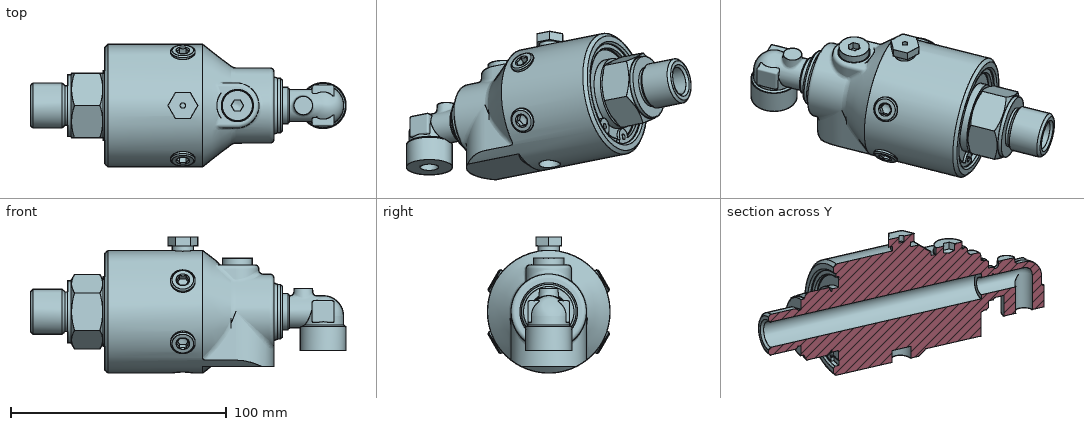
import cadquery as cq
import math


thread_d = 20.95
thread_chamfer = 1.2
thread_end = 14.8
relief_start = 16.1
relief_d = 18.5
flange_start = 17.3
flange_d = 28.8
hex_start = 19.0
hex_end = 33.8
hex_across_flats = 30.0
hex_chamfer_d = 29.4
hex_chamfer_angle = 30.0
shaft_d = 32.5
bore_d = 12.7
bore_mouth_d = 14.95

drum_d = 57.0
drum_start = 34.5
drum_end = 80.0
drum_chamfer = 1.5
neck_d = 35.0
cone_end = 94.2
neck_end = 113.1
cone_blend = 3.5
neck_round = 1.9

recess_d = 47.0
recess_chamfer = 0.9
recess_depth = 3.0
cover_raised_d = 42.0
cover_raise = 0.3
ring_inner_d = 43.2
ring_thickness = 1.5
ring_gap = 9.2
lug_d = 7.8
lug_hole_d = 2.5
lug_y = 8.5
lug_z = -18.6

port_x = 70.8
screw_angles = (30, 150, 210, 330)
screw_base_d = 11.5
screw_face_d = 10.0
screw_face_radius = 29.6
screw_rim = 0.6
screw_socket_mouth_d = 6.27
drain_d = 10.0
drain_depth = 6.0
bleeder_across_flats = 12.0
bleeder_top = 34.7
bleeder_head = 4.1
bleeder_neck_d = 10.0
bleeder_hole_d = 2.48
bleeder_hole_depth = 3.0

boss_x = 95.6
lower_boss_bottom = -25.5
lower_boss_fillet = 2.3
cone_root_overrun = 5.0
cone_root_stop = 1.0
upper_boss_d = 21.0
upper_boss_top = 21.7
upper_boss_round = 1.8
upper_boss_fillet = 1.8
spotface_d = 19.05
plug_x = 96.1
plug_d = 14.0
plug_seat_d = 14.95
plug_seat_depth = 0.5
plug_top = 24.9

socket_across_flats = 5.0
socket_depth = 2.5
socket_tip_angle = 118.0

collar_d = 25.4
collar_root_d = 26.8
collar_root_end = 114.8
collar_end = 117.1
collar_chamfer = 1.0
small_collar_d = 17.0
small_collar_end = 119.7

leg_d = 15.0
leg_blend = 0.7
elbow_d = 19.05
elbow_bore_d = 8.57
socket_d = 21.4
overall_length = 146.61
elbow_x = overall_length - socket_d / 2
elbow_dome_z = (leg_d - elbow_d) / 2
socket_top = -6.9
socket_bottom = -18.0
socket_blend = 0.8
pad_size = 10.2
pad_width = 19.2
pad_round = 0.8
stub_x = 126.7
stub_top = 10.8
stub_top_d = 8.57
stub_base_d = 10.6
stub_fillet = 1.5

slack = 1.0


def x_cylinder(diameter, start, end):
    return cq.Workplane("YZ", origin=(start, 0, 0)).circle(diameter / 2).extrude(end - start)


def z_cylinder(diameter, x, bottom, top):
    return cq.Workplane("XY", origin=(x, 0, bottom)).circle(diameter / 2).extrude(top - bottom)


def turned(points):
    """Revolve a profile of (x, radius) points about the X axis."""
    profile = [(x, -radius) for x, radius in points]
    return cq.Workplane("XZ").polyline(profile).close().revolve(360, (0, 0, 0), (1, 0, 0))


def hexagon_corners(across_flats):
    return across_flats / math.cos(math.pi / 6)


def radial_plane(direction, radius):
    """Plane facing away from the rotary axis at the ports around the drum."""
    origin = (port_x, radius * direction[1], radius * direction[2])
    return cq.Plane(origin=origin, xDir=(1, 0, 0), normal=direction)


def make_hex_socket(plane):
    """Hexagon socket below the plane, ending in a cone."""
    corners = hexagon_corners(socket_across_flats)
    tip_depth = corners / 2 / math.tan(math.radians(socket_tip_angle / 2))
    full_depth = socket_depth + tip_depth
    prism = cq.Workplane(plane).polygon(6, corners).extrude(-full_depth)
    drill = (
        cq.Workplane(cq.Plane(plane.origin, plane.xDir, -plane.yDir))
        .polyline([(0, 0), (corners, 0), (corners, -socket_depth), (0, -full_depth)])
        .close()
        .revolve(360, (0, 0, 0), (0, 1, 0))
    )
    return prism.intersect(drill)


def make_socket_mouth(plane):
    depth = (screw_socket_mouth_d - socket_across_flats) / 2
    return (
        cq.Workplane(plane)
        .circle(screw_socket_mouth_d / 2)
        .workplane(offset=-depth)
        .circle(socket_across_flats / 2)
        .loft()
    )


def make_rotor():
    thread_r = thread_d / 2
    relief_r = relief_d / 2
    spigot = turned([
        (0, 0),
        (0, thread_r - thread_chamfer),
        (thread_chamfer, thread_r),
        (thread_end, thread_r),
        (relief_start, relief_r),
        (flange_start, relief_r),
        (flange_start, flange_d / 2),
        (hex_start, flange_d / 2),
        (hex_start, 0),
    ])
    corners = hexagon_corners(hex_across_flats)
    hexagon = (
        cq.Workplane("YZ", origin=(hex_start, 0, 0))
        .transformed(rotate=(0, 0, 90))
        .polygon(6, corners)
        .extrude(hex_end - hex_start)
    )
    chamfer_rise = (corners - hex_chamfer_d) / 2
    chamfer_run = chamfer_rise * math.tan(math.radians(hex_chamfer_angle))
    chamfer_envelope = turned([
        (hex_start, 0),
        (hex_start, hex_chamfer_d / 2),
        (hex_start + chamfer_run, corners / 2),
        (hex_end - chamfer_run, corners / 2),
        (hex_end, hex_chamfer_d / 2),
        (hex_end, 0),
    ])
    shaft = x_cylinder(shaft_d, hex_end, drum_start + recess_depth)
    return spigot.union(hexagon.intersect(chamfer_envelope)).union(shaft)


def make_housing():
    drum_r = drum_d / 2
    neck_r = neck_d / 2
    housing = turned([
        (drum_start, 0),
        (drum_start, drum_r - drum_chamfer),
        (drum_start + drum_chamfer, drum_r),
        (drum_end, drum_r),
        (cone_end, neck_r),
        (neck_end, neck_r),
        (neck_end, 0),
    ])
    cone_seam = cq.selectors.BoxSelector(
        (cone_end - slack, -drum_r, -drum_r), (cone_end + slack, drum_r, drum_r)
    )
    housing = housing.edges("%CIRCLE").edges(cone_seam).fillet(cone_blend)
    return housing.faces(">X").edges().fillet(neck_round)


def straight_block(start, end, width, bottom, top):
    block = cq.Workplane("XY").box(end - start, width, top - bottom, centered=(False, True, False))
    return block.translate((start, 0, bottom))


def make_lower_boss():
    """U-shaped boss, trimmed below by the drum diameter and a flat."""
    boss = z_cylinder(neck_d, boss_x, lower_boss_bottom, 0)
    boss = boss.union(straight_block(drum_end, boss_x, neck_d, lower_boss_bottom, 0))
    return boss.intersect(x_cylinder(drum_d, drum_end, neck_end + slack))


def make_cone_root():
    """Fillet along the line where the cone meets the flat sides of the lower boss."""
    cone_slope = (drum_d - neck_d) / 2 / (cone_end - drum_end)
    start = drum_end - cone_root_overrun
    end = cone_end - cone_root_stop
    cone = turned([
        (start, 0),
        (start, drum_d / 2 + cone_root_overrun * cone_slope),
        (end, neck_d / 2 + cone_root_stop * cone_slope),
        (end, 0),
    ])
    root = cone.union(straight_block(start, end, neck_d, -drum_d, 0))
    root = root.edges(cq.selectors.BoxSelector(
        (start + slack, -neck_d / 2 - slack, -drum_d / 2),
        (end - slack, neck_d / 2 + slack, -slack),
    )).fillet(lower_boss_fillet)
    root = root.intersect(x_cylinder(drum_d, drum_end, cone_end))
    return root.cut(straight_block(start, cone_end, drum_d, -drum_d, lower_boss_bottom))


def make_upper_boss():
    start = drum_end
    boss = z_cylinder(upper_boss_d, boss_x, 0, upper_boss_top)
    straight = cq.Workplane("XY").box(
        boss_x - start, upper_boss_d, upper_boss_top, centered=(False, True, False)
    ).translate((start, 0, 0))
    boss = boss.union(straight)
    return boss.faces(">Z").edges("not <X").fillet(upper_boss_round)


def add_lower_boss(body):
    body = body.union(make_lower_boss())
    body = body.edges("%ELLIPSE").fillet(lower_boss_fillet)
    return body.union(make_cone_root())


def add_upper_boss(body):
    body = body.union(make_upper_boss())
    foot = cq.selectors.BoxSelector(
        (boss_x + slack, -upper_boss_d / 2, 0),
        (boss_x + upper_boss_d / 2, upper_boss_d / 2, neck_d / 2),
    )
    return body.edges(foot).fillet(upper_boss_fillet)


def add_plug(body):
    spotface = z_cylinder(spotface_d, plug_x, upper_boss_top, drum_d / 2)
    seat = z_cylinder(plug_seat_d, plug_x, upper_boss_top - plug_seat_depth, upper_boss_top)
    plug = z_cylinder(plug_d, plug_x, 0, plug_top)
    top_plane = cq.Plane(origin=(plug_x, 0, plug_top), xDir=(1, 0, 0), normal=(0, 0, 1))
    return body.cut(spotface).cut(seat).union(plug).cut(make_hex_socket(top_plane))


def cut_recess(body):
    drum_face_d = recess_d + 2 * recess_chamfer
    floor = drum_start + recess_depth
    recess = turned([
        (drum_start, 0),
        (drum_start, drum_face_d / 2),
        (drum_start + recess_chamfer, recess_d / 2),
        (floor, recess_d / 2),
        (floor, cover_raised_d / 2),
        (floor - cover_raise, cover_raised_d / 2),
        (floor - cover_raise, 0),
    ])
    return body.cut(recess)


def make_retaining_ring():
    end = drum_start + recess_depth
    start = end - ring_thickness
    disc = x_cylinder(recess_d, start, end)
    ring = disc.cut(x_cylinder(ring_inner_d, start, end))
    lugs = (
        cq.Workplane("YZ", origin=(start, 0, 0))
        .pushPoints([(-lug_y, lug_z), (lug_y, lug_z)])
        .circle(lug_d / 2)
        .circle(lug_hole_d / 2)
        .extrude(ring_thickness)
    )
    lug_holes = (
        cq.Workplane("YZ", origin=(start, 0, 0))
        .pushPoints([(-lug_y, lug_z), (lug_y, lug_z)])
        .circle(lug_hole_d / 2)
        .extrude(ring_thickness)
    )
    gap = cq.Workplane("XY").box(
        ring_thickness, ring_gap, recess_d / 2, centered=(False, True, False)
    ).translate((start, 0, -recess_d / 2))
    return ring.union(lugs.intersect(disc)).cut(lug_holes).cut(gap)


def add_screws(body):
    for angle in screw_angles:
        direction = (0, math.cos(math.radians(angle)), math.sin(math.radians(angle)))
        base = drum_d / 2 - 2 * screw_rim
        plane = radial_plane(direction, base)
        height = screw_face_radius - base
        screw = cq.Workplane(plane).circle(screw_base_d / 2).extrude(height)
        screw = screw.faces(cq.DirectionMinMaxSelector(cq.Vector(*direction), True)).edges()
        screw = screw.chamfer(screw_rim, (screw_base_d - screw_face_d) / 2)
        face_plane = radial_plane(direction, screw_face_radius)
        body = body.union(screw).cut(make_hex_socket(face_plane)).cut(make_socket_mouth(face_plane))
    return body


def add_bleeder(body):
    head_bottom = bleeder_top - bleeder_head
    neck = z_cylinder(bleeder_neck_d, port_x, drum_d / 2 - slack, head_bottom)
    head = (
        cq.Workplane("XY", origin=(port_x, 0, head_bottom))
        .polygon(6, hexagon_corners(bleeder_across_flats))
        .extrude(bleeder_head)
    )
    hole = z_cylinder(bleeder_hole_d, port_x, bleeder_top - bleeder_hole_depth, bleeder_top)
    return body.union(neck).union(head).cut(hole)


def cut_drain(body):
    bottom = -drum_d / 2
    return body.cut(z_cylinder(drain_d, port_x, bottom, bottom + drain_depth))


def make_collars():
    collar_r = collar_d / 2
    return turned([
        (neck_end, 0),
        (neck_end, collar_root_d / 2),
        (collar_root_end, collar_r),
        (collar_end - collar_chamfer, collar_r),
        (collar_end, collar_r - collar_chamfer),
        (collar_end, small_collar_d / 2),
        (small_collar_end, small_collar_d / 2),
        (small_collar_end, leg_d / 2 + leg_blend),
        (small_collar_end + leg_blend, leg_d / 2),
        (small_collar_end + leg_blend, 0),
    ])


def make_leg():
    """Horizontal leg of the elbow with its conical stub."""
    leg = x_cylinder(leg_d, small_collar_end, elbow_x)
    stub = (
        cq.Workplane("XY", origin=(stub_x, 0, 0))
        .circle(stub_base_d / 2)
        .workplane(offset=stub_top)
        .circle(stub_top_d / 2)
        .loft()
    )
    root = cq.selectors.BoxSelector(
        (stub_x - stub_base_d, -leg_d, slack), (stub_x + stub_base_d, leg_d, leg_d / 2)
    )
    return leg.union(stub).edges(root).fillet(stub_fillet)


def make_elbow():
    column = z_cylinder(elbow_d, elbow_x, socket_top, elbow_dome_z)
    dome = cq.Workplane("XY").sphere(elbow_d / 2).translate((elbow_x, 0, elbow_dome_z))
    elbow = make_leg().union(column).union(dome)
    socket = z_cylinder(socket_d, elbow_x, socket_bottom, socket_top)
    shoulder = (
        cq.Workplane("XY", origin=(elbow_x, 0, socket_top))
        .circle(elbow_d / 2 + socket_blend)
        .workplane(offset=socket_blend)
        .circle(elbow_d / 2)
        .loft()
    )
    pads = cq.Workplane("XY").box(pad_size, pad_width, pad_size).translate((elbow_x, 0, 0))
    pads = pads.edges().fillet(pad_round)
    return elbow.union(socket).union(shoulder).union(pads)


def cut_flow_bore(body):
    mouth_chamfer = (bore_mouth_d - bore_d) / 2
    wide_bore = turned([
        (0, 0),
        (0, bore_mouth_d / 2),
        (mouth_chamfer, bore_d / 2),
        (neck_end, bore_d / 2),
        (neck_end, 0),
    ])
    elbow_bore = x_cylinder(elbow_bore_d, neck_end, elbow_x)
    turn = cq.Workplane("XY").sphere(elbow_bore_d / 2).translate((elbow_x, 0, 0))
    outlet = z_cylinder(elbow_bore_d, elbow_x, socket_bottom, 0)
    return body.cut(wide_bore).cut(elbow_bore.union(turn).union(outlet))


body = add_lower_boss(make_housing())
body = add_upper_boss(body)
body = add_plug(body)
body = cut_recess(body)
body = body.union(make_retaining_ring()).union(make_rotor())
body = add_screws(body)
body = add_bleeder(body)
body = cut_drain(body)
body = body.union(make_collars()).union(make_elbow())
result = cut_flow_bore(body)